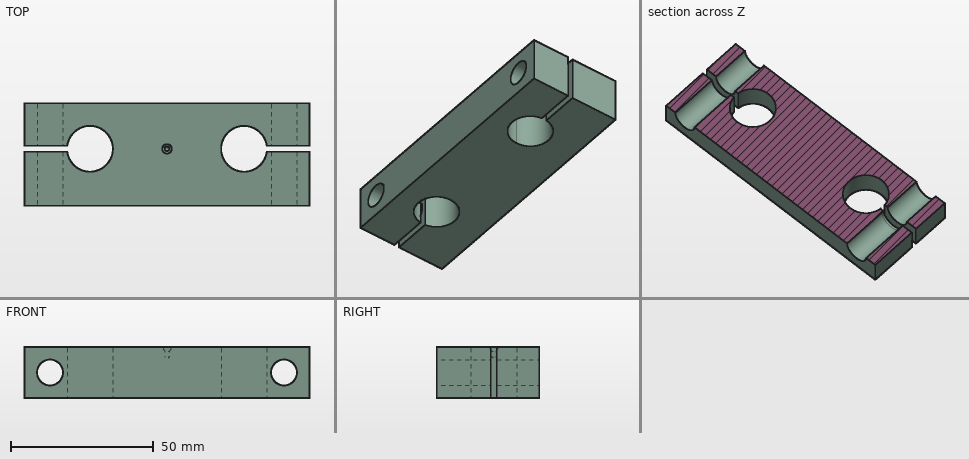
import math

import cadquery as cq

LENGTH = 100.0
WIDTH = 36.0
HEIGHT = 18.0

BORE_DIAMETER = 16.0
BORE_SPACING = 54.0
BORE_Y = 2.0

SLOT_WIDTH = 2.0

SCREW_DIAMETER = 9.0
SCREW_SPACING = 82.0

PILOT_DIAMETER = 1.6
PILOT_DEPTH = 3.5
DRILL_TIP_ANGLE = 118.0
COUNTERSINK_DIAMETER = 3.35
COUNTERSINK_ANGLE = 60.0

SIDES = (-1, 1)


def make_block():
    return cq.Workplane("XY").box(LENGTH, WIDTH, HEIGHT)


def cut_bores(body):
    centres = [(side * BORE_SPACING / 2, BORE_Y) for side in SIDES]
    bores = cq.Workplane("XY").pushPoints(centres).circle(BORE_DIAMETER / 2).extrude(HEIGHT, both=True)
    return body.cut(bores)


def cut_slots(body):
    slot_length = (LENGTH - BORE_SPACING) / 2
    slot_x = (BORE_SPACING + slot_length) / 2
    for side in SIDES:
        slot = cq.Workplane("XY").box(slot_length, SLOT_WIDTH, HEIGHT)
        body = body.cut(slot.translate((side * slot_x, BORE_Y, 0)))
    return body


def cut_screw_holes(body):
    centres = [(side * SCREW_SPACING / 2, 0) for side in SIDES]
    holes = cq.Workplane("XZ").pushPoints(centres).circle(SCREW_DIAMETER / 2).extrude(WIDTH, both=True)
    return body.cut(holes)


def cone_height(radius_change, included_angle):
    return radius_change / math.tan(math.radians(included_angle / 2))


def cut_pilot_hole(body):
    radius = PILOT_DIAMETER / 2
    mouth_radius = COUNTERSINK_DIAMETER / 2
    top_z = HEIGHT / 2
    floor_z = top_z - PILOT_DEPTH
    throat_z = top_z - cone_height(mouth_radius - radius, COUNTERSINK_ANGLE)
    tip_z = floor_z - cone_height(radius, DRILL_TIP_ANGLE)
    half_section = [(0, top_z), (mouth_radius, top_z), (radius, throat_z), (radius, floor_z), (0, tip_z)]
    pilot = cq.Workplane("XZ").polyline(half_section).close().revolve(360, (0, 0), (0, 1))
    return body.cut(pilot.translate((0, BORE_Y, 0)))


result = make_block()
result = cut_bores(result)
result = cut_slots(result)
result = cut_screw_holes(result)
result = cut_pilot_hole(result)